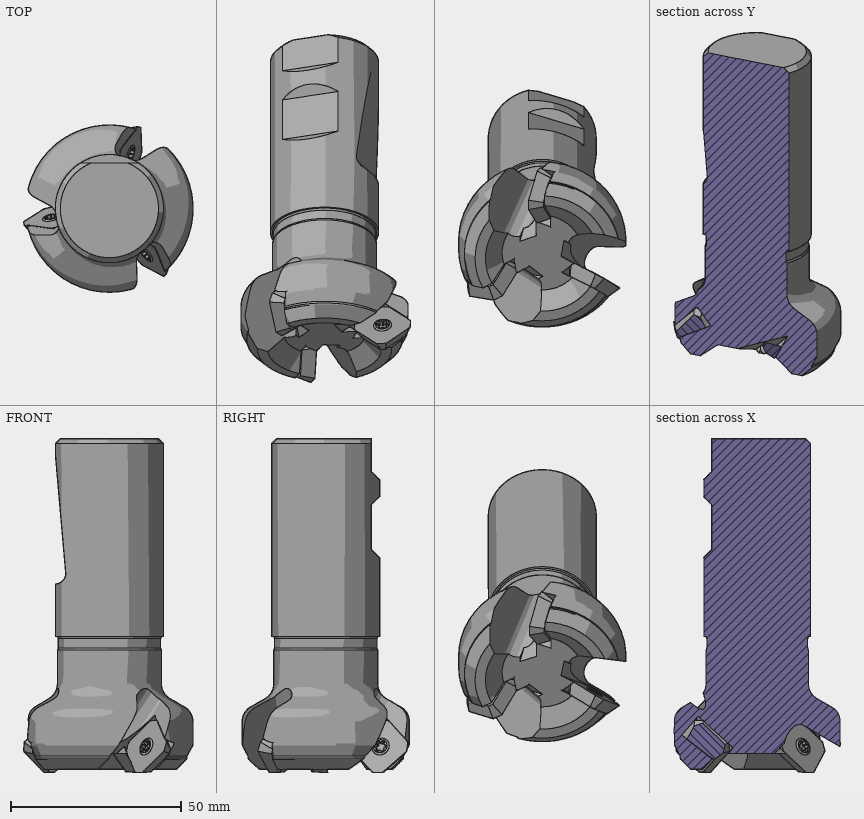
import cadquery as cq
import math

total_length = 98.0
shank_diameter = 31.7
shank_end_z = 39.9
top_chamfer = 1.5

groove_diameter = 30.1
groove_end_z = 36.0
groove_taper_height = 0.6
neck_diameter = 30.6
neck_end_z = 26.1

head_diameter = 49.1
head_blend_radius = 5.0
shoulder_angle = 60.0
bottom_z = 1.0
band_end_z = 8.4
band_edge_drop = 0.5
band_edge_inset = 0.1
step_diameter = 45.7
step_top_z = 4.9
step_bottom_z = 4.3
lip_diameter = 45.3
lip_z = 3.9
bottom_diameter = 39.4
recess_ceiling_z = 5.6
recess_mouth_radius = 16.7
recess_ceiling_radius = 11.8

flat_y = 13.37
flank_rise = shank_diameter / 2 - flat_y
upper_flat_bottom_z = 88.3
lower_flat_top_z = 78.6
lower_flat_bottom_z = 65.4

notch_top_z = 93.3
notch_corner_z = 58.4
notch_depth = 3.0

tooth_count = 3
tooth_pitch = 360.0 / tooth_count
axial_rake = 21.5
radial_rake = 12.2
insert_width = 13.7
insert_corner_cut = 1.5
insert_reach = insert_width / math.sqrt(2) - insert_corner_cut
face_centre = (-17.0, -2.6, insert_reach * math.cos(math.radians(axial_rake)))
insert_thickness = 3.9
insert_relief = 25.0

boss_base_diameter = 5.3
boss_top_diameter = 4.1
boss_height = 0.3
socket_diameter = 3.5
socket_depth = 1.5
socket_lobes = 6
lobe_radius = 0.5

flute_lean = 27.0
flute_radius = 4.1
flute_centre_offset = 4.9
flute_floor_rise = 0.3
flute_flare = 22.0
flute_reach = 39.2

clearance_length = 24.5
clearance_height = 4.4


def tooth_frame():
    """Plane of the rake face: x points outward, y points up the face."""
    axial = math.radians(axial_rake)
    radial = math.radians(radial_rake)
    outward = cq.Vector(-math.cos(radial), -math.sin(radial), 0)
    normal = cq.Vector(
        -math.sin(radial) * math.cos(axial),
        math.cos(radial) * math.cos(axial),
        math.sin(axial),
    )
    return cq.Plane(origin=face_centre, xDir=outward, normal=normal)


face_plane = tooth_frame()


def revolved_blank():
    head_radius = head_diameter / 2
    neck_radius = neck_diameter / 2
    angle = math.radians(shoulder_angle)
    blend_run = head_blend_radius * (1 - math.cos(angle))
    blend_drop = head_blend_radius * math.sin(angle)
    half = angle / 2
    half_run = head_blend_radius * (1 - math.cos(half))
    half_drop = head_blend_radius * math.sin(half)
    cone_top = (neck_radius + blend_run, neck_end_z - blend_drop)
    cone_end_radius = head_radius - blend_run
    cone_end = (cone_end_radius, cone_top[1] - (cone_end_radius - cone_top[0]) / math.tan(angle))
    band_top_z = cone_end[1] - blend_drop
    shank_radius = shank_diameter / 2
    return (
        cq.Workplane("XZ")
        .moveTo(0, bottom_z)
        .lineTo(bottom_diameter / 2, bottom_z)
        .lineTo(lip_diameter / 2, lip_z)
        .lineTo(step_diameter / 2, step_bottom_z)
        .lineTo(step_diameter / 2, step_top_z)
        .lineTo(head_radius - band_edge_inset, band_end_z - band_edge_drop)
        .lineTo(head_radius, band_end_z)
        .lineTo(head_radius, band_top_z)
        .threePointArc((head_radius - half_run, band_top_z + half_drop), cone_end)
        .lineTo(*cone_top)
        .threePointArc((neck_radius + half_run, neck_end_z - half_drop), (neck_radius, neck_end_z))
        .lineTo(neck_radius, groove_end_z)
        .lineTo(groove_diameter / 2, groove_end_z + groove_taper_height)
        .lineTo(groove_diameter / 2, shank_end_z - groove_taper_height)
        .lineTo(neck_radius, shank_end_z)
        .lineTo(shank_radius, shank_end_z)
        .lineTo(shank_radius, total_length - top_chamfer)
        .lineTo(shank_radius - top_chamfer, total_length)
        .lineTo(0, total_length)
        .close()
        .revolve(360, (0, 0, 0), (0, 1, 0))
    )


def flat_cutters():
    r = shank_diameter / 2
    upper = [
        (flat_y, total_length),
        (flat_y, upper_flat_bottom_z),
        (r, upper_flat_bottom_z - flank_rise),
        (r, total_length),
    ]
    lower = [
        (flat_y, lower_flat_top_z),
        (flat_y, lower_flat_bottom_z),
        (r, lower_flat_bottom_z - flank_rise),
        (r, lower_flat_top_z + flank_rise),
    ]
    cutters = cq.Workplane("YZ")
    for outline in (upper, lower):
        cutters = cutters.polyline(outline).close()
    return cutters.extrude(r, both=True)


def notch_cutter():
    r = shank_diameter / 2
    floor_x = notch_depth - r
    curve = notch_depth / math.sqrt(2)
    return (
        cq.Workplane("XZ")
        .moveTo(-r, notch_top_z)
        .lineTo(floor_x, notch_corner_z)
        .threePointArc((curve - r, notch_corner_z - curve), (-r, notch_corner_z - notch_depth))
        .close()
        .extrude(r, both=True)
    )


def recess_cutter():
    return (
        cq.Workplane("XZ")
        .moveTo(0, bottom_z)
        .lineTo(recess_mouth_radius, bottom_z)
        .lineTo(recess_ceiling_radius, recess_ceiling_z)
        .lineTo(0, recess_ceiling_z)
        .close()
        .revolve(360, (0, 0, 0), (0, 1, 0))
    )


def flute_cutter():
    lean = math.radians(flute_lean)
    along = face_plane.xDir * math.sin(lean) + face_plane.yDir * math.cos(lean)
    across = face_plane.yDir * math.sin(lean) - face_plane.xDir * math.cos(lean)
    flare = math.radians(flute_flare)
    wall_start = (
        flute_centre_offset + flute_radius * math.sin(flare),
        flute_floor_rise + flute_radius * (1 + math.cos(flare)),
    )
    arc_middle = (flute_centre_offset + flute_radius, flute_floor_rise + flute_radius)
    wall_end = (-flute_reach, wall_start[1] + (flute_reach + wall_start[0]) * math.tan(flare))
    return (
        cq.Workplane(cq.Plane(origin=face_centre, xDir=across, normal=along))
        .moveTo(-flute_reach, flute_floor_rise)
        .lineTo(flute_centre_offset, flute_floor_rise)
        .threePointArc(arc_middle, wall_start)
        .lineTo(*wall_end)
        .close()
        .extrude(flute_reach, both=True)
    )


def pocket_cutter():
    """Square seat for the insert plus the longer clearance above it."""
    square = cq.Workplane(face_plane).transformed(rotate=(0, 0, 45))
    seat = square.rect(insert_width, insert_width).extrude(-insert_thickness)
    clearance = (
        square.center((insert_width - clearance_length) / 2, 0)
        .rect(clearance_length, insert_width)
        .extrude(clearance_height)
    )
    return seat.union(clearance)


def socket_cutter():
    lobe_circle = socket_diameter / 2 - lobe_radius
    base = cq.Workplane(face_plane).workplane(offset=boss_height)
    core = base.circle(lobe_circle).extrude(-socket_depth)
    lobes = (
        base.polarArray(lobe_circle, 0, 360, socket_lobes)
        .circle(lobe_radius)
        .extrude(-socket_depth)
    )
    return core.union(lobes)


def insert():
    cut = insert_corner_cut
    far = insert_reach
    outline = [
        (cut, -far), (far, -cut), (far, cut), (cut, far),
        (-cut, far), (-far, cut), (-far, -cut), (-cut, -far),
    ]
    back = face_plane.rotated((180, 0, 0))
    flipped = [(x, -y) for x, y in outline]
    plate = cq.Workplane(back).polyline(flipped).close().extrude(insert_thickness, taper=insert_relief)
    boss = (
        cq.Workplane(face_plane)
        .circle(boss_base_diameter / 2)
        .workplane(offset=boss_height)
        .circle(boss_top_diameter / 2)
        .loft(combine=True)
    )
    return plate.union(boss).cut(socket_cutter())


def around(shape, index):
    return shape.rotate((0, 0, 0), (0, 0, 1), index * tooth_pitch)


def cutter_body():
    body = revolved_blank().cut(flat_cutters()).cut(notch_cutter()).cut(recess_cutter())
    for index in range(tooth_count):
        body = body.cut(around(flute_cutter(), index))
        body = body.cut(around(pocket_cutter(), index))
    return body


body = cutter_body()
inserts = [around(insert(), index).val() for index in range(tooth_count)]

result = cq.Compound.makeCompound([body.val(), *inserts])